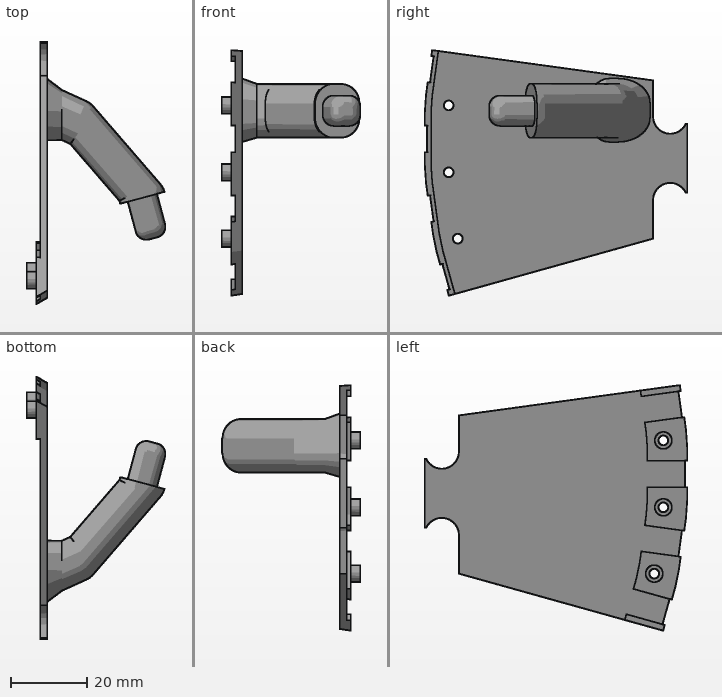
import cadquery as cq
import math

plate_thickness = 1.9
pad_height = 1.05
pad_face_x = -(plate_thickness + pad_height)
plate_length = 69.1
shoulder_y = 60.15
rim_radius = 135.5
facet_pitch = 7.8
facet_steps = (1, 0, -1, -2)
facet_half_length = 6.9
rim_bevel = 30.0
side_offset = 5.05

neck_z = -5.1
neck_half_width = 9.1
neck_notch_radius = 4.5
neck_notch_offset = 11.0

pad_depth = 10.5
gap_half_width = 3.45
pin_diameter = 4.5
pin_length = 2.55
hole_diameter = 2.5
pin_circle_radius = rim_radius - 6.0

arm_z = 7.4
arm_height = 14.2
arm_edge_radius = 5.1
arm_bend_radius = 5.2
arm_start_x = 3.9
root_angle, shank_angle, tip_angle = -24.5, -49.2, -75.0
root_width, shank_width, tip_width = 12.0, 11.05, 12.1
first_bend = (8.15, 48.75)
shank_length = 27.1

foot_z = 7.55
foot_height = 16.7
foot_flat_height = 3.8
foot_flat_back_y = 50.9
foot_flat_front_y = 48.7
foot_back_radius = 8.4
foot_front_radius = 5.5

peg_width = 8.0
peg_radius = 3.0
peg_tip_radius = 2.9
peg_length = 11.05


def fan_point(step, radius, offset=0.0):
    """(y, z) at a radius along a facet axis, then sideways by an offset."""
    angle = math.radians(step * facet_pitch)
    y = rim_radius - radius * math.cos(angle) + offset * math.sin(angle)
    z = radius * math.sin(angle) + offset * math.cos(angle)
    return (y, z)


def facet_line(radius):
    """Points along the facets at a radius, from the top facet to the bottom one."""
    half_length = facet_half_length * radius / rim_radius
    return [
        fan_point(step, radius, side * half_length)
        for step in facet_steps
        for side in (1, -1)
    ]


def side_edge_z(step, offset, y):
    """Height of a side edge at a given y."""
    angle = math.radians(step * facet_pitch)
    return (rim_radius - y) * math.tan(angle) + offset / math.cos(angle)


def slab(points, x_start, thickness):
    """Extrude a (y, z) outline along +X."""
    return cq.Workplane("YZ", origin=(x_start, 0, 0)).polyline(points).close().extrude(thickness)


def make_plate():
    thickness = -pad_face_x
    top_step, bottom_step = facet_steps[0], facet_steps[-1]
    reach = rim_radius + facet_half_length
    outline = [
        (shoulder_y, side_edge_z(top_step, side_offset, shoulder_y)),
        fan_point(top_step, reach, side_offset),
        fan_point(bottom_step, reach, -side_offset),
        (shoulder_y, side_edge_z(bottom_step, -side_offset, shoulder_y)),
    ]
    fan = slab(outline, pad_face_x, thickness)

    far = 2 * plate_length
    rim_outline = facet_line(rim_radius) + [(far, -far), (far, far)]
    rim = (
        cq.Workplane("YZ", origin=(pad_face_x, 0, 0))
        .polyline(rim_outline).close()
        .extrude(thickness, taper=rim_bevel)
    )

    clear_outline = facet_line(rim_radius - pad_depth) + [(far, -far), (far, far)]
    fan = fan.cut(slab(clear_outline, pad_face_x, pad_height))
    gap_start = rim_radius - pad_depth - pad_height
    for step in facet_steps:
        gap = [
            fan_point(step, radius, side * gap_half_width)
            for radius, side in ((gap_start, 1), (reach, 1), (reach, -1), (gap_start, -1))
        ]
        fan = fan.cut(slab(gap, pad_face_x, pad_height))
    fan = fan.intersect(rim)

    return fan.union(make_neck())


def make_neck():
    """A stub with a round notch on each side, where it meets the fan."""
    notch_y = shoulder_y + neck_notch_radius
    root_half_width = neck_notch_offset
    outline = [
        (shoulder_y, neck_z + root_half_width),
        (notch_y, neck_z + root_half_width),
        (notch_y, neck_z + neck_half_width),
        (plate_length, neck_z + neck_half_width),
        (plate_length, neck_z - neck_half_width),
        (notch_y, neck_z - neck_half_width),
        (notch_y, neck_z - root_half_width),
        (shoulder_y, neck_z - root_half_width),
    ]
    notches = (
        cq.Workplane("YZ", origin=(-plate_thickness, 0, 0))
        .pushPoints([(notch_y, neck_z + side * neck_notch_offset) for side in (1, -1)])
        .circle(neck_notch_radius).extrude(plate_thickness)
    )
    return slab(outline, -plate_thickness, plate_thickness).cut(notches)


def pin_centres():
    """One pin midway between each pair of neighbouring facets."""
    return [fan_point(step - 0.5, pin_circle_radius) for step in facet_steps[:-1]]


def make_pins():
    return (
        cq.Workplane("YZ", origin=(pad_face_x - pin_length, 0, 0))
        .pushPoints(pin_centres()).circle(pin_diameter / 2).extrude(pin_length)
    )


def make_pin_holes():
    return (
        cq.Workplane("YZ", origin=(pad_face_x - pin_length, 0, 0))
        .pushPoints(pin_centres()).circle(hole_diameter / 2).extrude(pin_length - pad_face_x)
    )


def along(point, angle, distance):
    """Move a plan point by a distance in a direction given in degrees."""
    direction = math.radians(angle)
    return (point[0] + distance * math.cos(direction), point[1] + distance * math.sin(direction))


def crossing(point_a, angle_a, point_b, angle_b):
    """Where two plan lines, each given by a point and a direction, cross."""
    turn = math.radians(angle_b - angle_a)
    direction_b = math.radians(angle_b)
    dx, dy = point_b[0] - point_a[0], point_b[1] - point_a[1]
    distance = (dx * math.sin(direction_b) - dy * math.cos(direction_b)) / math.sin(turn)
    return along(point_a, angle_a, distance)


second_bend = along(first_bend, shank_angle, shank_length)
tip_outer = along(second_bend, tip_angle + 90, arm_bend_radius)
tip_inner = along(tip_outer, tip_angle - 90, tip_width)
tip_centre = along(tip_outer, tip_angle - 90, tip_width / 2)


def make_arm():
    def outer(bend, angle):
        return along(bend, angle + 90, arm_bend_radius)

    root_end = outer(first_bend, root_angle)
    shank_start = outer(first_bend, shank_angle)
    shank_end = outer(second_bend, shank_angle)
    root_inner = along(root_end, root_angle - 90, root_width)
    shank_inner = along(shank_start, shank_angle - 90, shank_width)

    start_line = (arm_start_x, 0)
    start_outer = crossing(root_end, root_angle, start_line, 90)
    start_inner = crossing(root_inner, root_angle, start_line, 90)
    first_inner_bend = crossing(root_inner, root_angle, shank_inner, shank_angle)
    second_inner_bend = crossing(shank_inner, shank_angle, tip_inner, tip_angle)
    first_arc_middle = outer(first_bend, (root_angle + shank_angle) / 2)
    second_arc_middle = outer(second_bend, (shank_angle + tip_angle) / 2)

    bar = (
        cq.Workplane("XY", origin=(0, 0, arm_z - arm_height / 2))
        .moveTo(*start_outer)
        .lineTo(*root_end)
        .threePointArc(first_arc_middle, shank_start)
        .lineTo(*shank_end)
        .threePointArc(second_arc_middle, tip_outer)
        .lineTo(*tip_inner)
        .lineTo(*second_inner_bend)
        .lineTo(*first_inner_bend)
        .lineTo(*start_inner)
        .close()
        .extrude(arm_height)
    )
    start_centre = (arm_start_x, (start_outer[1] + start_inner[1]) / 2)

    def is_long_edge(edge):
        middle = edge.Center()
        on_start = math.dist((middle.x, middle.y), start_centre) < arm_edge_radius / 2
        on_tip = math.dist((middle.x, middle.y), tip_centre) < arm_edge_radius / 2
        return not (on_start or on_tip)

    long_edges = [edge for edge in bar.faces("<Z or >Z").edges().vals() if is_long_edge(edge)]
    return bar.newObject(long_edges).fillet(arm_edge_radius)


def make_foot(arm):
    corner_height = (foot_height - foot_flat_height) / 2
    flat_depth = foot_flat_back_y - foot_flat_front_y
    base = (
        cq.Workplane("YZ")
        .moveTo(foot_flat_front_y, foot_z - foot_height / 2)
        .line(flat_depth, 0)
        .ellipseArc(foot_back_radius, corner_height, 270, 360)
        .line(0, foot_flat_height)
        .ellipseArc(foot_back_radius, corner_height, 0, 90)
        .line(-flat_depth, 0)
        .ellipseArc(foot_front_radius, corner_height, 90, 180)
        .line(0, -foot_flat_height)
        .ellipseArc(foot_front_radius, corner_height, 180, 270)
        .wire()
    )
    arm_wire = arm.faces("<X").wires().val()
    return cq.Workplane(obj=cq.Solid.makeLoft([base.val(), arm_wire], True))


def make_peg():
    peg = (
        cq.Workplane("XY").box(peg_length, peg_width, peg_width, centered=(False, True, True))
        .edges("|X").fillet(peg_radius)
        .faces(">X").edges().fillet(peg_tip_radius)
    )
    return peg.rotate((0, 0, 0), (0, 0, 1), tip_angle).translate((*tip_centre, arm_z))


arm = make_arm()
result = (
    make_plate().union(make_pins()).cut(make_pin_holes())
    .union(make_foot(arm)).union(arm).union(make_peg())
)